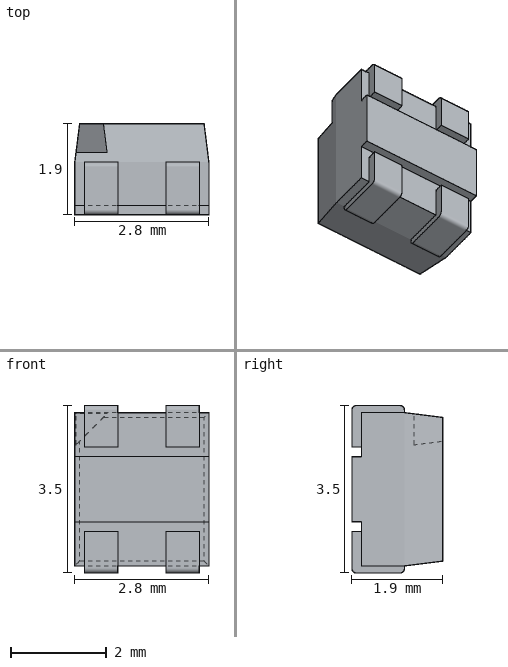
import cadquery as cq

body_width = 2.8
body_length = 3.2
base_height = 1.1
total_height = 1.9

step_height = 0.2
terminal_gap = 0.2

terminal_width = 0.7
terminal_side_inset = 0.2
terminal_thickness = 0.15
terminal_foot_length = 0.87
terminal_radius = 0.1

cover_inset = 0.1
mark_leg = 0.7
mark_floor_height = 0.2

terminal_end = body_length / 2 + terminal_thickness
terminal_inner = terminal_end - terminal_foot_length
rib_length = 2 * (terminal_inner - terminal_gap)
terminal_offset = body_width / 2 - terminal_side_inset - terminal_width / 2


def block(width, length, y_start, y_end):
    """Box centred on X and Z, between two heights along Y."""
    box = cq.Workplane("XY").box(width, y_end - y_start, length)
    return box.translate((0, (y_start + y_end) / 2, 0))


def make_base():
    main_block = block(body_width, body_length, step_height, base_height)
    rib = block(body_width, rib_length, 0, base_height)
    return main_block.union(rib)


def make_cover():
    cover_height = total_height - base_height
    return (
        cq.Workplane("XZ", origin=(0, base_height, 0))
        .rect(body_width, body_length)
        .workplane(offset=-cover_height)
        .rect(body_width - 2 * cover_inset, body_length - 2 * cover_inset)
        .loft(ruled=True)
    )


def make_polarity_cut():
    """Triangular prism removing the -X, +Z corner of the cover above a small ledge."""
    corner_x = -body_width / 2
    corner_z = body_length / 2
    floor_y = base_height + mark_floor_height
    corner_points = [
        (corner_x, corner_z),
        (corner_x + mark_leg, corner_z),
        (corner_x, corner_z - mark_leg),
    ]
    return (
        cq.Workplane("XZ", origin=(0, floor_y, 0))
        .polyline(corner_points)
        .close()
        .extrude(floor_y - total_height)
    )


def make_terminal(x_side, z_side):
    """L-shaped terminal: a foot under the base and a wall up its end, outer edges rounded."""
    centre_z = (terminal_inner + terminal_end) / 2
    outer_block = (
        block(terminal_width, terminal_foot_length, 0, base_height)
        .translate((0, 0, centre_z))
        .edges("|X and >Z")
        .fillet(terminal_radius)
    )
    terminal = outer_block.cut(block(body_width, body_length, step_height, base_height))
    if z_side < 0:
        terminal = terminal.mirror("XY")
    return terminal.translate((x_side * terminal_offset, 0, 0))


result = make_base().union(make_cover()).cut(make_polarity_cut())
for x_side in (-1, 1):
    for z_side in (-1, 1):
        result = result.union(make_terminal(x_side, z_side))